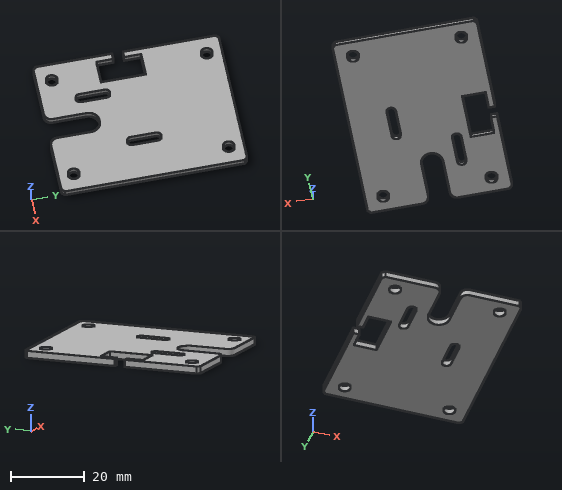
import cadquery as cq

plate_width = 40.0
plate_length = 51.5
plate_thickness = 2.0
corner_chamfer = 0.8

hole_diameter = 3.2
hole_spacing_x = 30.0
hole_spacing_y = 43.0

slot_width = 2.5
slot_length = 9.5
slot_centers = [(-8.0, -11.5), (8.0, -0.5)]

window_width = 6.45
window_length = 12.4
window_wall = 1.75
window_center_y = -2.25
gap_width = 3.0

notch_width = 6.0
notch_depth = 14.5
notch_mouth_radius = 2.0

left_edge = -plate_width / 2
front_edge = -plate_length / 2


def make_plate():
    """Flat plate with chamfered corners."""
    plate = cq.Workplane("XY").box(
        plate_width, plate_length, plate_thickness, centered=(True, True, False)
    )
    return plate.edges("|Z").chamfer(corner_chamfer)


def make_mounting_holes():
    """Cutter for the four corner holes."""
    return (
        cq.Workplane("XY")
        .rect(hole_spacing_x, hole_spacing_y, forConstruction=True)
        .vertices()
        .circle(hole_diameter / 2)
        .extrude(plate_thickness)
    )


def make_slots():
    """Cutter for the round-ended slots."""
    return (
        cq.Workplane("XY")
        .pushPoints(slot_centers)
        .slot2D(slot_length, slot_width, angle=90)
        .extrude(plate_thickness)
    )


def make_window():
    """Cutter for the rectangular window and its gap through the left wall."""
    window_left = left_edge + window_wall
    window = (
        cq.Workplane("XY")
        .center(window_left + window_width / 2, window_center_y)
        .rect(window_width, window_length)
        .extrude(plate_thickness)
    )
    gap_length = window_wall + window_width / 2
    gap = (
        cq.Workplane("XY")
        .center(left_edge + gap_length / 2, window_center_y)
        .rect(gap_length, gap_width)
        .extrude(plate_thickness)
    )
    return window.union(gap)


def make_notch():
    """Cutter for the front notch, flaring out along arcs at its mouth."""
    half_width = notch_width / 2
    half_mouth = half_width + notch_mouth_radius
    flare_y = front_edge + notch_mouth_radius
    tip_y = front_edge + notch_depth
    arc_start_y = tip_y - half_width
    return (
        cq.Workplane("XY")
        .moveTo(-half_mouth, front_edge)
        .radiusArc((-half_width, flare_y), -notch_mouth_radius)
        .lineTo(-half_width, arc_start_y)
        .threePointArc((0, tip_y), (half_width, arc_start_y))
        .lineTo(half_width, flare_y)
        .radiusArc((half_mouth, front_edge), -notch_mouth_radius)
        .close()
        .extrude(plate_thickness)
    )


result = make_plate()
for cutter in (make_mounting_holes(), make_slots(), make_window(), make_notch()):
    result = result.cut(cutter)